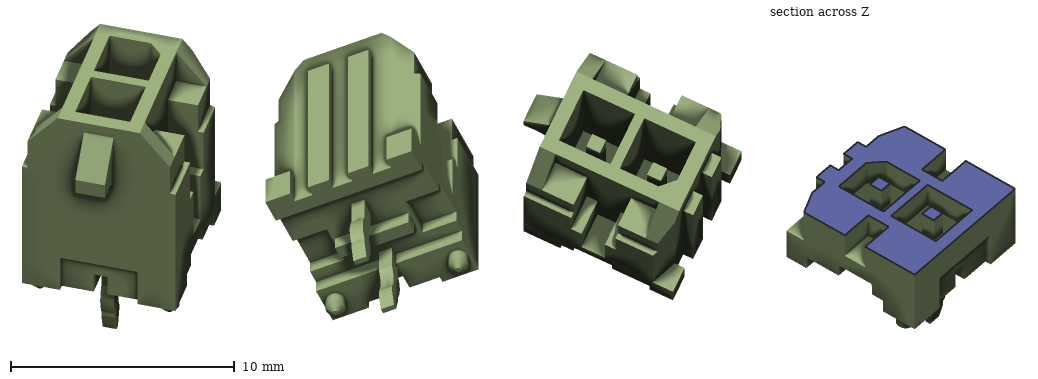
import cadquery as cq
import math


overall_height = 13.09
body_width = 7.15
body_depth = 6.9
body_height = 9.91
half_width = body_width / 2
core_half_width = 1.91
upper_half_width = 3.31
ledge_z = 6.73
shoulder_z = 8.25
front_gusset = 0.79
rear_gusset = 1.0

slot_center_y = 3.44
wide_slot_width = 2.19
wide_slot_floor_z = 4.62
narrow_slot_width = 1.15
narrow_slot_floor_z = 2.11

rear_face_y = 7.38
foot_width = 1.22
foot_height = 1.62
bevel_depth = 0.51
rib_width = 1.01
rib_center_x = 0.97
rib_height = 8.35

standoff = 0.67
front_wall_back_y = 1.82
rear_wall_front_y = 6.23
underside_center_y = 3.42
side_notch_width = 1.91
side_notch_height = 1.3
center_bar_depth = 0.63
front_recess_width = 3.6
front_recess_height = 1.86
front_recess_depth = 0.3
pin_slot_height = 1.0

pitch = 3.01
front_pin_y = 1.88
pin_ys = (front_pin_y, front_pin_y + pitch)
front_cavity_y = 1.92
cavity_size = 2.55
cavity_floor_z = narrow_slot_floor_z
key_chamfer = 0.63

pin_width = 0.64
pin_depth = 0.68
pin_top_z = ledge_z
bend_top_z = -0.63
bend_bottom_z = -2.12
bend_offset = 0.18
taper_z = -2.35
pin_tip_z = body_height - overall_height
pin_tip_depth = 0.25

peg_x = 3.01
peg_y = 0.97
peg_radius = 0.45
peg_tip_radius = 0.12
peg_shoulder_z = -0.52
peg_tip_z = -0.86

latch_width = 1.37
latch_reach = 1.39
latch_top_z = 9.36
latch_nose_top_z = 7.71
latch_nose_bottom_z = 6.98
latch_fillet = 0.79
latch_root_z = 6.26


def block(x, y, z):
    """Box spanning the given (low, high) ranges."""
    return cq.Workplane("XY").box(
        x[1] - x[0], y[1] - y[0], z[1] - z[0], centered=False
    ).translate((x[0], y[0], z[0]))


def centered_block(width, y, z):
    """Box centred on x = 0, spanning the given y and z ranges."""
    return block((-width / 2, width / 2), y, z)


def on_both_sides(shape):
    """The shape joined with its mirror image across x = 0."""
    return shape.union(shape.mirror("YZ"))


def centered_range(center, size):
    """(low, high) range of the given size about a centre."""
    return (center - size / 2, center + size / 2)


def make_shell():
    """Outer housing with sloping shoulders and bevelled rear corners."""
    half_profile = [
        (0, 0),
        (half_width, 0),
        (half_width, ledge_z),
        (upper_half_width, ledge_z),
        (upper_half_width, shoulder_z),
        (core_half_width, body_height),
        (0, body_height),
    ]
    shell = on_both_sides(
        cq.Workplane("XZ").polyline(half_profile).close().extrude(-body_depth)
    )
    bevel = (
        cq.Workplane("XY")
        .workplane(offset=foot_height)
        .moveTo(half_width - foot_width, body_depth)
        .lineTo(half_width, body_depth)
        .lineTo(half_width, body_depth - bevel_depth)
        .close()
        .extrude(body_height - foot_height)
    )
    return shell.cut(on_both_sides(bevel))


def make_side_cuts():
    """Shoulder pockets and stepped slots that reach in to the core."""
    side = (core_half_width, half_width)
    pocket_y = (front_gusset, body_depth - rear_gusset)
    wide_y = centered_range(slot_center_y, wide_slot_width)
    narrow_y = centered_range(slot_center_y, narrow_slot_width)
    cuts = block(side, pocket_y, (shoulder_z, body_height))
    cuts = cuts.union(block(side, wide_y, (wide_slot_floor_z, body_height)))
    cuts = cuts.union(block(side, narrow_y, (narrow_slot_floor_z, body_height)))
    return on_both_sides(cuts)


def make_underside_cuts():
    """Clearance under the housing, side notches, front recess and pin slot."""
    cuts = centered_block(body_width, (front_wall_back_y, rear_wall_front_y), (0, standoff))
    notch_y = centered_range(underside_center_y, side_notch_width)
    cuts = cuts.union(
        on_both_sides(block((core_half_width, half_width), notch_y, (0, side_notch_height)))
    )
    cuts = cuts.union(
        centered_block(front_recess_width, (0, front_recess_depth), (0, front_recess_height))
    )
    return cuts.union(centered_block(pin_width, (0, front_pin_y), (0, pin_slot_height)))


def make_cavities():
    """Open-topped contact cavities; the rear one has a keyed corner."""
    height = (cavity_floor_z, body_height)
    front = centered_block(cavity_size, centered_range(front_cavity_y, cavity_size), height)
    rear = centered_block(cavity_size, centered_range(front_cavity_y + pitch, cavity_size), height)
    return front.union(rear.edges("|Z and >X and >Y").chamfer(key_chamfer))


def make_rear_supports():
    """Corner feet and upright ribs standing out from the rear face."""
    rear = (body_depth, rear_face_y)
    foot = block((half_width - foot_width, half_width), rear, (0, foot_height))
    rib = block(centered_range(rib_center_x, rib_width), rear, (0, rib_height))
    return on_both_sides(foot.union(rib))


def make_latch():
    """Ramped latch on the front face with a concave underside."""
    middle = latch_fillet * math.sqrt(0.5)
    return (
        cq.Workplane("YZ")
        .moveTo(0, latch_top_z)
        .lineTo(-latch_reach, latch_nose_top_z)
        .lineTo(-latch_reach, latch_nose_bottom_z)
        .lineTo(-latch_fillet, latch_root_z + latch_fillet)
        .threePointArc((middle - latch_fillet, latch_root_z + middle), (0, latch_root_z))
        .close()
        .extrude(latch_width / 2, both=True)
    )


def make_pin(y, bend_side):
    """Contact pin whose tail bows towards bend_side (-1 front, +1 rear)."""
    half = pin_depth / 2
    half_tip = pin_tip_depth / 2
    bow = bend_side * bend_offset
    bend_middle_z = (bend_top_z + bend_bottom_z) / 2
    return (
        cq.Workplane("YZ")
        .moveTo(y - half, pin_top_z)
        .lineTo(y - half, bend_top_z)
        .threePointArc((y - half + bow, bend_middle_z), (y - half, bend_bottom_z))
        .lineTo(y - half, taper_z)
        .lineTo(y - half_tip, pin_tip_z)
        .lineTo(y + half_tip, pin_tip_z)
        .lineTo(y + half, taper_z)
        .lineTo(y + half, bend_bottom_z)
        .threePointArc((y + half + bow, bend_middle_z), (y + half, bend_top_z))
        .lineTo(y + half, pin_top_z)
        .close()
        .extrude(pin_width / 2, both=True)
    )


def make_peg():
    """Round locating peg with a tapered tip."""
    profile = [
        (0, 0),
        (peg_radius, 0),
        (peg_radius, peg_shoulder_z),
        (peg_tip_radius, peg_tip_z),
        (0, peg_tip_z),
    ]
    peg = cq.Workplane("XZ").polyline(profile).close().revolve(360, (0, 0), (0, 1))
    return peg.translate((peg_x, peg_y, 0))


housing = make_shell().cut(make_side_cuts()).cut(make_underside_cuts()).cut(make_cavities())
center_bar = centered_block(
    front_recess_width, centered_range(underside_center_y, center_bar_depth), (0, standoff)
)

result = housing.union(center_bar).union(make_rear_supports()).union(make_latch())
result = result.union(on_both_sides(make_peg()))
for pin_y, bend_side in zip(pin_ys, (-1, 1)):
    result = result.union(make_pin(pin_y, bend_side))